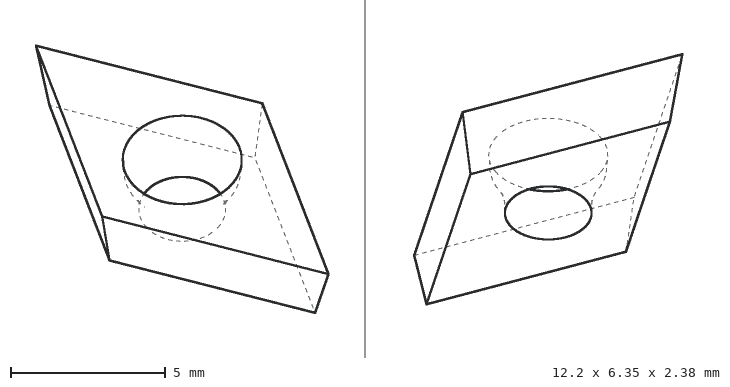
import cadquery as cq
import math

inscribed_diameter = 6.35
thickness = 2.38
corner_angle = 55.0
relief_angle = 7.0
overall_length = 12.2

head_top_radius = 1.93
head_bottom_radius = 1.89
head_depth = 0.52
seat_radius = 1.8
seat_depth = 0.79
bore_radius = 1.4
bore_depth = 2.11


def rhombus(width, length):
    """Rhombus corners, with two edges along X and the sharp corners at -X-Y and +X+Y."""
    half_width = width / 2
    half_length = length / 2
    blunt_x = half_length - width / math.tan(math.radians(corner_angle))
    return [
        (-half_length, -half_width),
        (blunt_x, -half_width),
        (half_length, half_width),
        (-blunt_x, half_width),
    ]


def insert_body():
    bottom_width = inscribed_diameter - 2 * thickness * math.tan(math.radians(relief_angle))
    bottom_length = overall_length * bottom_width / inscribed_diameter
    return (
        cq.Workplane("XY")
        .polyline(rhombus(bottom_width, bottom_length))
        .close()
        .workplane(offset=thickness)
        .polyline(rhombus(inscribed_diameter, overall_length))
        .close()
        .loft(ruled=True)
    )


def screw_hole():
    head_z = thickness - head_depth
    seat_z = thickness - seat_depth
    bore_z = thickness - bore_depth
    seat_drop = seat_z - bore_z
    seat_width = seat_radius - bore_radius
    arc_radius = (seat_drop**2 + seat_width**2) / (2 * seat_width)
    half_sweep = math.asin(seat_drop / arc_radius) / 2
    seat_middle = (
        bore_radius + arc_radius * (1 - math.cos(half_sweep)),
        bore_z + arc_radius * math.sin(half_sweep),
    )
    return (
        cq.Workplane("XZ")
        .moveTo(0, thickness)
        .lineTo(head_top_radius, thickness)
        .lineTo(head_bottom_radius, head_z)
        .tangentArcPoint((seat_radius, seat_z), relative=False)
        .threePointArc(seat_middle, (bore_radius, bore_z))
        .lineTo(bore_radius, 0)
        .lineTo(0, 0)
        .close()
        .revolve(360, (0, 0, 0), (0, 1, 0))
    )


result = insert_body().cut(screw_hole())